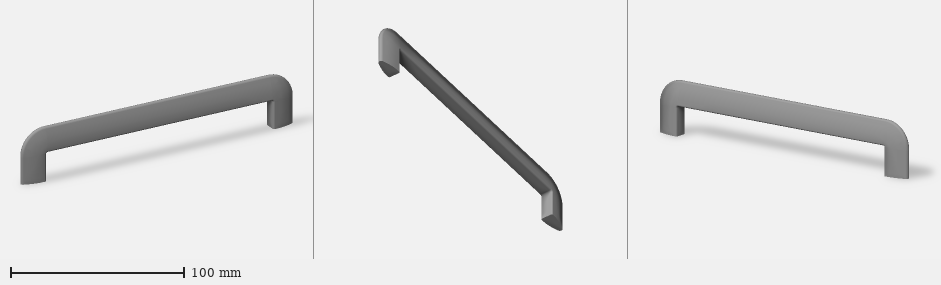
import cadquery as cq
import math

length = 182.0
height = 33.0

bar_depth = 15.0
bar_thickness = 8.0
nose_radius = 1.6
inner_corner_radius = 1.0

inner_bend_radius = 1.0
bend_radius = inner_bend_radius + bar_depth / 2

half_depth = bar_depth / 2
half_thickness = bar_thickness / 2

flank_y = half_depth - inner_corner_radius
nose_y = nose_radius - half_depth
flank_run = flank_y - nose_y
flank_radius = (flank_run**2 + half_thickness**2 - nose_radius**2) / (bar_thickness - 2 * nose_radius)
flank_center_x = half_thickness - flank_radius
tangent_angle = math.asin(flank_run / (flank_radius - nose_radius))
tangent_x = nose_radius * math.cos(tangent_angle)
tangent_y = nose_y - nose_radius * math.sin(tangent_angle)
flank_mid_x = flank_center_x + flank_radius * math.cos(tangent_angle / 2)
flank_mid_y = flank_y - flank_radius * math.sin(tangent_angle / 2)

leg_y = length / 2 - half_depth
grip_z = height - half_depth
bend_y = leg_y - bend_radius
bend_z = grip_z - bend_radius
bend_offset = bend_radius * math.sqrt(0.5)


def bar_section():
    return (
        cq.Workplane("XY", origin=(0, -leg_y, 0))
        .moveTo(-tangent_x, tangent_y)
        .threePointArc((0, -half_depth), (tangent_x, tangent_y))
        .threePointArc((flank_mid_x, flank_mid_y), (half_thickness, flank_y))
        .radiusArc((half_thickness - inner_corner_radius, half_depth), -inner_corner_radius)
        .lineTo(inner_corner_radius - half_thickness, half_depth)
        .radiusArc((-half_thickness, flank_y), -inner_corner_radius)
        .threePointArc((-flank_mid_x, flank_mid_y), (-tangent_x, tangent_y))
        .close()
    )


def centerline():
    bend_mid_y = bend_y + bend_offset
    bend_mid_z = bend_z + bend_offset
    return (
        cq.Workplane("YZ")
        .moveTo(-leg_y, 0)
        .lineTo(-leg_y, bend_z)
        .threePointArc((-bend_mid_y, bend_mid_z), (-bend_y, grip_z))
        .lineTo(bend_y, grip_z)
        .threePointArc((bend_mid_y, bend_mid_z), (leg_y, bend_z))
        .lineTo(leg_y, 0)
    )


result = bar_section().sweep(centerline())